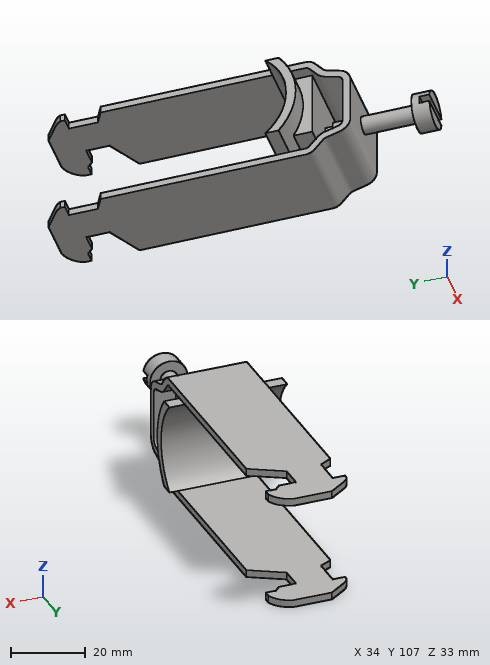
import cadquery as cq
import math


strap_width = 22.9
strap_height = 33.0
strap_thickness = 2.1
leg_end_y = 86.9
shoulder_y = 11.0
neck_y = 7.3
neck_z = 12.1
end_wall_z = 10.0
shoulder_radius = 3.3
neck_radius = 2.4
end_wall_radius = 4.1

hook_seat_y = 80.1
hook_step_y = 78.5
stem_base_y = 72.0
stem_left_x = -7.9
stem_right_x = 2.0
left_shoulder_y = 70.1
right_shoulder_y = 66.7
step_edge_x = 7.0
step_top_x = 8.5
nose_left_x = -4.9
nose_right_x = 6.1
right_cheek_y = 82.1
right_cheek_mid = (9.6, 85.0)
left_cheek_y = 81.4
left_cheek_mid = (-10.7, 82.5)
left_cheek_end = (-9.6, 83.5)

saddle_length = 34.0
saddle_center_x = -2.1
saddle_height = 25.9
saddle_inner_radius = 17.2
saddle_thickness = 2.7
saddle_outer_radius = saddle_inner_radius + saddle_thickness
saddle_back_y = 12.8
saddle_axis_y = saddle_back_y + saddle_outer_radius
pad_length = 21.2
pad_height = 20.0
pad_face_y = 10.3

shank_diameter = 5.0
shank_end_y = 7.9
tip_diameter = 3.1
head_diameter = 10.8
head_seat_y = -15.1
head_height = 5.0
head_top_y = head_seat_y - head_height
slot_width = 2.2
slot_depth = 2.8


def cylinder_along_y(diameter, start_y, end_y):
    """Cylinder on the screw axis between two Y positions."""
    plane = cq.Workplane(cq.Plane((0, start_y, 0), (1, 0, 0), (0, 1, 0)))
    return plane.circle(diameter / 2).extrude(end_y - start_y)


def strap_envelope():
    """Filled block with the outer shape of the bent strip, open end run past the hooks."""
    upper = [
        (leg_end_y + strap_thickness, strap_height / 2),
        (shoulder_y, strap_height / 2),
        (neck_y, neck_z),
        (0, end_wall_z),
    ]
    lower = [(y, -z) for y, z in reversed(upper)]
    block = cq.Workplane("YZ").polyline(upper + lower).close().extrude(strap_width / 2, both=True)
    bends = zip(upper[1:], (shoulder_radius, neck_radius, end_wall_radius))
    for (y, z), radius in bends:
        for side in (1, -1):
            corner = cq.selectors.NearestToPointSelector((0, y, side * z))
            block = block.edges("|X").edges(corner).fillet(radius)
    return block


def leg_outline():
    """Plan outline of the legs, with the hook at the free end."""
    edge_x = strap_width / 2
    return (
        cq.Workplane("XY")
        .moveTo(-edge_x, 0)
        .lineTo(edge_x, 0)
        .lineTo(edge_x, right_shoulder_y)
        .lineTo(stem_right_x, stem_base_y)
        .lineTo(stem_right_x, hook_step_y)
        .lineTo(step_edge_x, hook_step_y)
        .lineTo(step_top_x, hook_seat_y)
        .lineTo(edge_x, hook_seat_y)
        .lineTo(edge_x, right_cheek_y)
        .threePointArc(right_cheek_mid, (nose_right_x, leg_end_y))
        .lineTo(nose_left_x, leg_end_y)
        .lineTo(*left_cheek_end)
        .threePointArc(left_cheek_mid, (-edge_x, left_cheek_y))
        .lineTo(-edge_x, hook_seat_y)
        .lineTo(stem_left_x, hook_seat_y)
        .lineTo(stem_left_x, stem_base_y)
        .lineTo(-edge_x, left_shoulder_y)
        .close()
        .extrude(strap_height / 2, both=True)
    )


def make_strap():
    envelope = strap_envelope()
    side_outline = envelope.faces("<X").wires().val()
    inner_outline = side_outline.offset2D(-strap_thickness)[0]
    opening = cq.Workplane(cq.Solid.extrudeLinear(inner_outline, [], cq.Vector(strap_width, 0, 0)))
    screw_hole = cylinder_along_y(shank_diameter, 0, strap_thickness)
    return envelope.cut(opening).intersect(leg_outline()).cut(screw_hole)


def make_saddle():
    half_height = saddle_height / 2
    inner_end_y = saddle_axis_y - math.sqrt(saddle_inner_radius**2 - half_height**2)
    outer_end_y = saddle_axis_y - math.sqrt(saddle_outer_radius**2 - half_height**2)
    saddle_plane = cq.Workplane("YZ", origin=(saddle_center_x, 0, 0))
    plate = (
        saddle_plane
        .moveTo(inner_end_y, half_height)
        .lineTo(outer_end_y, half_height)
        .threePointArc((saddle_back_y, 0), (outer_end_y, -half_height))
        .lineTo(inner_end_y, -half_height)
        .threePointArc((saddle_back_y + saddle_thickness, 0), (inner_end_y, half_height))
        .close()
        .extrude(saddle_length / 2, both=True)
    )
    pad_edge_y = saddle_axis_y - math.sqrt(saddle_outer_radius**2 - (pad_height / 2) ** 2)
    pad = (
        saddle_plane
        .moveTo(pad_edge_y, pad_height / 2)
        .lineTo(pad_face_y, pad_height / 2)
        .lineTo(pad_face_y, -pad_height / 2)
        .lineTo(pad_edge_y, -pad_height / 2)
        .threePointArc((saddle_back_y, 0), (pad_edge_y, pad_height / 2))
        .close()
        .extrude(pad_length / 2, both=True)
    )
    return plate.union(pad)


def make_screw():
    head = cylinder_along_y(head_diameter, head_top_y, head_seat_y)
    shank = cylinder_along_y(shank_diameter, head_seat_y, shank_end_y)
    tip = cylinder_along_y(tip_diameter, shank_end_y, pad_face_y)
    slot_center_y = head_top_y + slot_depth / 2
    slot = cq.Workplane("XY").box(head_diameter, slot_depth, slot_width).translate((0, slot_center_y, 0))
    return head.union(shank).union(tip).cut(slot)


strap = make_strap()
saddle = make_saddle()
screw = make_screw()

result = cq.Compound.makeCompound([strap.solids().val(), saddle.solids().val(), screw.solids().val()])